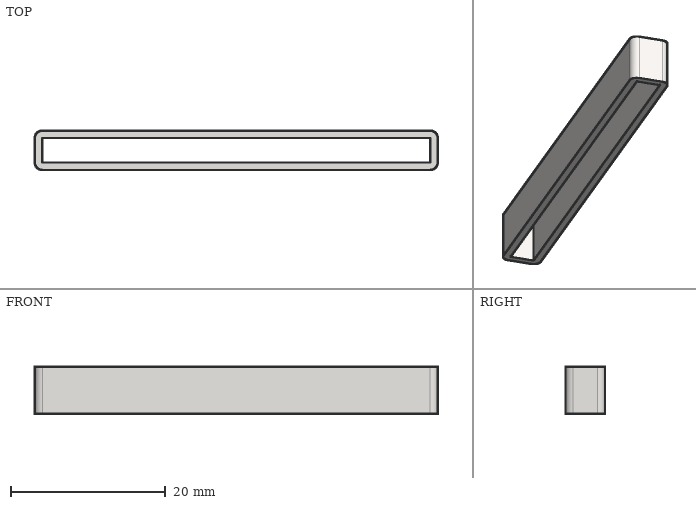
import cadquery as cq

length = 52.1
width = 5.1
height = 6.1
wall = 1.0
corner_radius = wall

outer_body = (
    cq.Workplane("XY")
    .box(length, width, height)
    .edges("|Z")
    .fillet(corner_radius)
)

opening = cq.Workplane("XY").box(length - 2 * wall, width - 2 * wall, height)

result = outer_body.cut(opening)